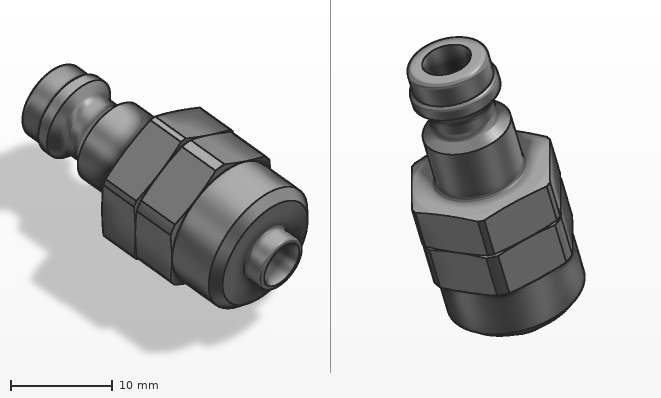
import cadquery as cq

TOTAL_LENGTH = 32.0
BORE_DIAMETER = 4.95
HEX_ACROSS_FLATS = 14.0
HEX_FACE_DIAMETER = 13.92
HEX_CHAMFER_DEPTH = 0.2
HEX_SIDES = 6

TIP_DIAMETER = 8.25
TIP_FILLET = 0.6
RING_START = 2.62
RING_FILLET = 0.48
RING_END = 4.1
SHANK_DIAMETER = 9.0
SHANK_START = 8.32
GROOVE_DIAMETER = 6.65
GROOVE_FILLET = 1.0
SHANK_ROOT_FILLET = 0.48
PLUG_HEX_START = 14.08
PLUG_HEX_CORNER_DIAMETER = 15.8

CAP_START = 18.7
CAP_HEX_END = 23.7
CAP_HEX_CORNER_DIAMETER = 15.52
SLEEVE_END = 29.73
SLEEVE_CHAMFER = 1.0
TAIL_DIAMETER = 6.05
TAIL_FILLET = 0.3

SELECTION_TOLERANCE = 0.015


def cylinder(start, end, diameter):
    """Round bar along X."""
    return cq.Workplane("YZ", origin=(start, 0, 0)).circle(diameter / 2).extrude(end - start)


def revolve_about_x(points):
    """Solid of revolution from (x, radius) points."""
    return cq.Workplane("XY").polyline(points).close().revolve(360, (0, 0, 0), (1, 0, 0))


def fillet_circle(body, x, diameter, radius):
    """Fillet the circular edge with the given place and diameter."""
    reach = diameter / 2 + SELECTION_TOLERANCE
    edge = body.edges(
        cq.selectors.BoxSelector(
            (x - SELECTION_TOLERANCE, -reach, -reach),
            (x + SELECTION_TOLERANCE, reach, reach),
            boundingbox=True,
        )
    ).edges(cq.selectors.RadiusNthSelector(-1))
    return edge.fillet(radius)


def hexagon(start, end, corner_diameter):
    """Hexagon with flats facing Y, rounded corners and both ends chamfered."""
    prism = (
        cq.Workplane("YZ", origin=(start, 0, 0))
        .polygon(HEX_SIDES, HEX_ACROSS_FLATS, circumscribed=True)
        .extrude(end - start)
    )
    face_radius = HEX_FACE_DIAMETER / 2
    corner_radius = corner_diameter / 2
    envelope = revolve_about_x([
        (start, 0),
        (start, face_radius),
        (start + HEX_CHAMFER_DEPTH, corner_radius),
        (end - HEX_CHAMFER_DEPTH, corner_radius),
        (end, face_radius),
        (end, 0),
    ])
    return prism.intersect(envelope)


def make_plug():
    shank_radius = SHANK_DIAMETER / 2
    groove_radius = GROOVE_DIAMETER / 2
    groove_depth = shank_radius - groove_radius
    groove_start = RING_END + groove_depth
    groove_end = SHANK_START - groove_depth
    body = revolve_about_x([
        (RING_START, 0),
        (RING_START, shank_radius),
        (RING_END, shank_radius),
        (groove_start, groove_radius),
        (groove_end, groove_radius),
        (SHANK_START, shank_radius),
        (PLUG_HEX_START, shank_radius),
        (PLUG_HEX_START, 0),
    ])
    body = body.union(hexagon(PLUG_HEX_START, CAP_START, PLUG_HEX_CORNER_DIAMETER))
    body = fillet_circle(body, RING_START, SHANK_DIAMETER, RING_FILLET)
    body = fillet_circle(body, groove_start, GROOVE_DIAMETER, GROOVE_FILLET)
    body = fillet_circle(body, groove_end, GROOVE_DIAMETER, GROOVE_FILLET)
    body = fillet_circle(body, PLUG_HEX_START, SHANK_DIAMETER, SHANK_ROOT_FILLET)
    tip = cylinder(0, RING_END, TIP_DIAMETER)
    body = body.union(fillet_circle(tip, 0, TIP_DIAMETER, TIP_FILLET))
    return body.cut(cylinder(0, CAP_START, BORE_DIAMETER))


def make_cap():
    sleeve = cylinder(CAP_HEX_END, SLEEVE_END, HEX_ACROSS_FLATS).faces(">X").chamfer(SLEEVE_CHAMFER)
    body = hexagon(CAP_START, CAP_HEX_END, CAP_HEX_CORNER_DIAMETER).union(sleeve)
    body = body.union(cylinder(SLEEVE_END, TOTAL_LENGTH, TAIL_DIAMETER))
    body = fillet_circle(body, SLEEVE_END, TAIL_DIAMETER, TAIL_FILLET)
    body = fillet_circle(body, TOTAL_LENGTH, TAIL_DIAMETER, TAIL_FILLET)
    return body.cut(cylinder(CAP_START, TOTAL_LENGTH, BORE_DIAMETER))


plug = make_plug()
cap = make_cap()

result = cq.Compound.makeCompound([plug.solids().val(), cap.solids().val()])